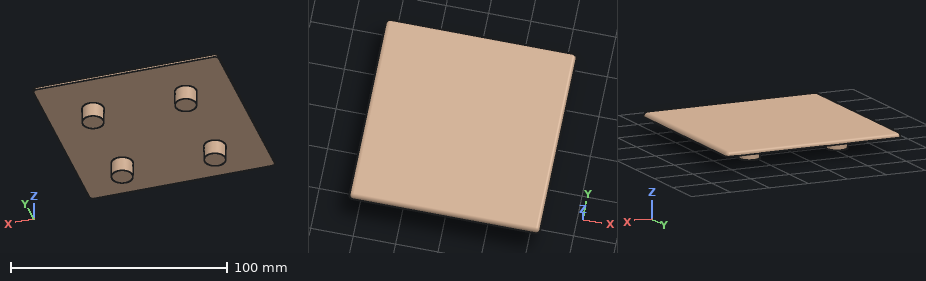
import cadquery as cq

side = 90.0
total_height = 10.0
plate_thickness = 2.5
rim_radius = 2.0

peg_root_diameter = 10.3
peg_draft_angle = 1.0
peg_spacing = side / 2
peg_length = total_height - plate_thickness


def make_plate():
    """Plate with its underside at Z = 0, corners and upper edges rounded."""
    plate = cq.Workplane("XY").box(side, side, plate_thickness, centered=(True, True, False))
    return plate.edges("|Z or >Z").fillet(rim_radius)


def make_pegs():
    """Four drafted pegs in a square pattern, hanging from the underside."""
    return (
        cq.Workplane("XY")
        .rarray(peg_spacing, peg_spacing, 2, 2)
        .circle(peg_root_diameter / 2)
        .extrude(-peg_length, taper=peg_draft_angle)
    )


result = make_plate().union(make_pegs())